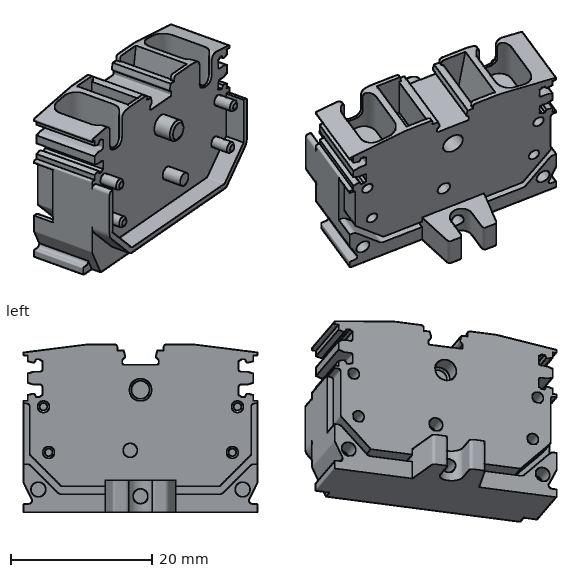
import cadquery as cq
import math

length = 33.2
height = 23.8
housing_width = 10.15
flange_reach = 5.98
rail_reach = 3.05
socket_depth = 3.3
half_length = length / 2
OVER = 0.33

clip_center_z = 19.02
clip_wall_y = 13.9
clip_nose_y = 16.0
clip_knee_y = 15.17
rib_root_half = 0.93
rib_tip_half = 0.65
bead_half = 2.2
bead_foot_half = 2.4
bead_groove_half = 2.65
shoulder_half = 3.2
bead_flat = 0.25
relief_flat = 0.43
brow_end_z = 22.68
top_flat_y = 7.6
corner_round = 0.2
rib_root_round = 0.33

step_y = 3.25
step_z = 22.97
marker_lip_y = 2.4
marker_nose_y = 2.12
marker_nose_z = 22.08
marker_wall_y = 2.55
marker_wall_z = 21.58
marker_floor_z = 20.95
step_round = 0.43
marker_nose_round = 0.2

foot_lip_z = 1.23
foot_notch_y = 15.37
foot_notch_z = 1.75
foot_slope_top_z = 4.25
foot_lip_width = 8.6
notch_round = 0.5
slope_round = 0.5

groove_top_z = 15.45
groove_side_y = 15.7
groove_inner_bottom_z = 3.7
groove_inner_bottom_y = 11.2
groove_outer_end_z = 6.85
groove_outer_end_y = 15.77
groove_bottom_z = 2.6
rail_top_z = 15.1
rail_side_y = 15.77
rail_inner_bottom_z = 3.55
rail_inner_bottom_y = 11.2
rail_bottom_z = 2.72
rail_outer_bottom_y = 11.6
kink_round = 0.43
bend_round = 0.83
rail_bend_round = 1.5

flange_root_half = 4.98
flange_tip_half = 3.9
flange_height = 4.55
flange_slot_diameter = 3.32
flange_slot_center_x = -2.6
flange_round = 0.5

center_peg_diameter = 3.15
center_peg_place = (0, 17.35)
corner_peg_diameter = 1.65
upper_corner_peg = (13.75, 14.97)
lower_corner_peg = (13.0, 8.5)
plain_peg_diameter = 2.0
plain_peg_place = (1.45, 8.8)
peg_tip_length = 0.33
peg_tip_inset = 0.3
foot_hole_diameter = 2.1
foot_hole_place = (14.48, 3.25)
flange_hole_z = 2.3

entry_x = (0.45, 9.75)
entry_y = (8.15, 13.6)
entry_corner = 2.0
entry_floor_z = 16.6
entry_slot_width = 2.92
entry_slot_y = 10.82
entry_slot_bottom_z = 18.6
entry_slot_bottom_round = 1.2
entry_slot_top_round = 1.0

tool_x = (0.65, 9.55)
tool_y = (3.22, 7.1)
tool_floor_z = entry_floor_z
tool_lean_y = 6.0
tool_lean_z = 17.13
tool_bevel_width = 0.33
tool_bevel_depth = 0.1

clamp_thickness = 0.65


def mirrored(points):
    """Close a +Y half outline with its mirror image."""
    return points + [(-y, z) for y, z in reversed(points)]


def prism(points, x_start, x_end):
    """Extrude a (Y, Z) outline from x_start to x_end."""
    sketch = cq.Workplane("YZ", origin=(x_start, 0, 0)).polyline(points).close()
    return sketch.extrude(x_end - x_start)


def block(x_range, y_range, z_range):
    """Rectangular block between the given limits."""
    corner = (x_range[0], y_range[0], z_range[0])
    size = [limits[1] - limits[0] for limits in (x_range, y_range, z_range)]
    return cq.Workplane("XY").box(*size, centered=False).translate(corner)


def round_x_edges(body, places, radius):
    """Round the edges along X that pass through the given (Y, Z) places on either side."""
    reach = 0.015
    far = 2 * length
    for y, z in places:
        for side in (-1, 1):
            low = (-far, side * y - reach, z - reach)
            high = (far, side * y + reach, z + reach)
            body = body.edges("|X").edges(cq.selectors.BoxSelector(low, high)).fillet(radius)
    return body


def both_ends(body):
    """The body together with its mirror image at the other end."""
    return body.union(body.mirror("XZ"))


def clip_end(side):
    """Outline of one clip slot, from its free end to the middle rib (side -1 below, +1 above)."""
    offsets = [
        (clip_nose_y, shoulder_half),
        (clip_nose_y, bead_foot_half),
        (clip_knee_y + bead_flat / 2, bead_half),
        (clip_knee_y - bead_flat / 2, bead_half),
        (clip_wall_y + 2 * relief_flat, bead_groove_half),
        (clip_wall_y + relief_flat, bead_groove_half),
        (clip_wall_y, bead_foot_half),
        (clip_wall_y, rib_root_half),
        (clip_knee_y, rib_root_half),
        (clip_nose_y, rib_tip_half),
    ]
    return [(y, clip_center_z + side * half) for y, half in offsets]


def housing_body():
    """Solid block with the end outline."""
    shoulder_z = clip_center_z - shoulder_half
    brow_z = clip_center_z + shoulder_half
    outline = [
        (half_length, 0),
        (half_length, foot_lip_z),
        (foot_notch_y, foot_lip_z),
        (foot_notch_y, foot_notch_z),
        (half_length, foot_slope_top_z),
        (half_length, shoulder_z),
        *clip_end(-1),
        *reversed(clip_end(1)),
        (half_length, brow_z),
        (half_length, brow_end_z),
        (top_flat_y, height),
        (step_y, height),
        (step_y, step_z),
        (marker_lip_y, step_z),
        (marker_nose_y, marker_nose_z),
        (marker_wall_y, marker_wall_z),
        (marker_wall_y, marker_floor_z),
    ]
    body = prism(mirrored(outline), 0, housing_width)
    small_corners = [
        (half_length, 0),
        (half_length, foot_lip_z),
        (half_length, shoulder_z),
        (half_length, brow_z),
        (half_length, brow_end_z),
        (marker_wall_y, marker_floor_z),
    ]
    rib_roots = [(clip_wall_y, clip_center_z + side * rib_root_half) for side in (-1, 1)]
    body = round_x_edges(body, small_corners, corner_round)
    body = round_x_edges(body, rib_roots, rib_root_round)
    body = round_x_edges(body, [(marker_nose_y, marker_nose_z)], marker_nose_round)
    body = round_x_edges(body, [(foot_notch_y, foot_lip_z)], notch_round)
    body = round_x_edges(body, [(half_length, foot_slope_top_z)], slope_round)
    return round_x_edges(body, [(step_y, height)], step_round)


def foot_lip_relief():
    """Cutter that ends the foot lips short of the +X face, along the foot slope."""
    lean = (half_length - foot_notch_y) / (foot_slope_top_z - foot_notch_z)
    slope_foot_y = half_length - lean * foot_slope_top_z
    triangle = [
        (slope_foot_y, 0),
        (half_length, 0),
        (half_length, foot_slope_top_z),
    ]
    return both_ends(prism(triangle, foot_lip_width, housing_width))


def guide_groove():
    """Groove that follows the lower corners and stops at the flange."""
    inner_kink_z = groove_inner_bottom_z + groove_side_y - groove_inner_bottom_y
    outer_corner_y = groove_outer_end_y - (groove_outer_end_z - groove_bottom_z)
    outline = [
        (half_length, groove_top_z),
        (groove_side_y, groove_top_z),
        (groove_side_y, inner_kink_z),
        (groove_inner_bottom_y, groove_inner_bottom_z),
        (flange_root_half, groove_inner_bottom_z),
        (flange_root_half, groove_bottom_z),
        (outer_corner_y, groove_bottom_z),
        (groove_outer_end_y, groove_outer_end_z),
        (half_length, groove_outer_end_z),
    ]
    groove = both_ends(prism(outline, 0, socket_depth))
    kinks = [(groove_side_y, groove_top_z), (groove_side_y, inner_kink_z)]
    bends = [(outer_corner_y, groove_bottom_z), (groove_outer_end_y, groove_outer_end_z)]
    groove = round_x_edges(groove, kinks, kink_round)
    return round_x_edges(groove, bends, bend_round)


def guide_rail():
    """Rail that fits the groove of the next block."""
    inner_kink_z = rail_inner_bottom_z + rail_side_y - rail_inner_bottom_y
    outer_kink_z = rail_bottom_z + half_length - rail_outer_bottom_y
    outline = [
        (rail_outer_bottom_y, rail_bottom_z),
        (half_length, outer_kink_z),
        (half_length, rail_top_z),
        (rail_side_y, rail_top_z),
        (rail_side_y, inner_kink_z),
        (rail_inner_bottom_y, rail_inner_bottom_z),
    ]
    rail = prism(mirrored(outline), housing_width, housing_width + rail_reach)
    rail = round_x_edges(rail, [(rail_outer_bottom_y, rail_bottom_z)], bend_round)
    rail = round_x_edges(rail, [(half_length, outer_kink_z)], rail_bend_round)
    rounded = [(half_length, rail_top_z), (rail_inner_bottom_y, rail_inner_bottom_z)]
    return round_x_edges(rail, rounded, kink_round)


def flange():
    """Tapered flange with a screw slot that opens to -X."""
    outline = [
        (0, flange_root_half),
        (-flange_reach, flange_tip_half),
        (-flange_reach, -flange_tip_half),
        (0, -flange_root_half),
    ]
    plate = cq.Workplane("XY").polyline(outline).close().extrude(flange_height)
    slot_half = flange_slot_diameter / 2
    slot_round = cq.Workplane("XY").center(flange_slot_center_x, 0).circle(slot_half).extrude(flange_height)
    slot_mouth = block(
        (-flange_reach - OVER, flange_slot_center_x), (-slot_half, slot_half), (0, flange_height)
    )
    plate = plate.cut(slot_round).cut(slot_mouth)
    return plate.edges("|Z and <X").fillet(flange_round)


def peg(place, diameter, x_start, reach, tapered):
    """Peg along +X, with a conical tip when tapered."""
    shape = cq.Workplane("YZ", origin=(x_start, *place)).circle(diameter / 2).extrude(reach)
    if tapered:
        shape = shape.faces(">X").chamfer(peg_tip_length, peg_tip_inset)
    return shape


def peg_set(x_start, reach):
    """All pegs of one face; with the socket depth they are the matching holes."""
    pegs = peg(center_peg_place, center_peg_diameter, x_start, reach, True)
    pegs = pegs.union(peg(plain_peg_place, plain_peg_diameter, x_start, reach, False))
    for y, z in (upper_corner_peg, lower_corner_peg):
        for side in (-1, 1):
            pegs = pegs.union(peg((side * y, z), corner_peg_diameter, x_start, reach, True))
    return pegs


def foot_holes():
    """Plain blind holes in the two foot corners and behind the flange slot."""
    y, z = foot_hole_place
    holes = both_ends(peg((y, z), foot_hole_diameter, 0, socket_depth, False))
    flange_hole = peg(
        (0, flange_hole_z), foot_hole_diameter, flange_slot_center_x,
        socket_depth - flange_slot_center_x, False,
    )
    return holes.union(flange_hole)


def wire_entry_column(z_low, z_high):
    """Rounded column with the section of the +Y wire entry."""
    return block(entry_x, entry_y, (z_low, z_high)).edges("|Z").fillet(entry_corner)


def wire_entry():
    """Wire entry with a round-bottomed side slot that opens to +X."""
    column = wire_entry_column(entry_floor_z - clamp_thickness, height + OVER)
    slot_half = entry_slot_width / 2
    slot_x = (sum(entry_x) / 2, housing_width)
    slot = block(
        slot_x, (entry_slot_y - slot_half, entry_slot_y + slot_half), (entry_slot_bottom_z, height + OVER)
    )
    slot = slot.edges("|X and <Z").fillet(entry_slot_bottom_round)
    return both_ends(column.union(slot).union(entry_slot_flare(slot_x)))


def entry_slot_flare(slot_x):
    """Convex rounding of both upper edges of the side slot, tangent to the sloping top."""
    slope = math.atan((height - brow_end_z) / (half_length - top_flat_y))
    roof_normal = math.pi / 2 - slope

    def rounding(side):
        """Roof end, middle and wall end of the arc on one wall (side -1 inner, +1 outer)."""
        center_y = entry_slot_y + side * (entry_slot_width / 2 + entry_slot_top_round)
        roof_z = height - math.tan(slope) * (center_y - top_flat_y)
        center_z = roof_z - entry_slot_top_round / math.cos(slope)
        wall_normal = math.pi if side > 0 else 0
        angles = (roof_normal, (roof_normal + wall_normal) / 2, wall_normal)
        return [
            (
                center_y + entry_slot_top_round * math.cos(angle),
                center_z + entry_slot_top_round * math.sin(angle),
            )
            for angle in angles
        ]

    inner_roof, inner_middle, inner_wall = rounding(-1)
    outer_roof, outer_middle, outer_wall = rounding(1)
    outline = (
        cq.Workplane("YZ", origin=(slot_x[0], 0, 0))
        .moveTo(inner_roof[0], height + OVER)
        .lineTo(*inner_roof)
        .threePointArc(inner_middle, inner_wall)
        .lineTo(*outer_wall)
        .threePointArc(outer_middle, outer_roof)
        .lineTo(outer_roof[0], height + OVER)
        .close()
    )
    return outline.extrude(slot_x[1] - slot_x[0])


def tool_pockets():
    """Pockets with a leaning outer wall and a bevelled inner edge."""
    outline = [
        (tool_y[0], height + OVER),
        (tool_y[0], step_z),
        (tool_y[0] + tool_bevel_width, step_z - tool_bevel_depth),
        (tool_y[0] + tool_bevel_width, tool_floor_z),
        (tool_lean_y, tool_floor_z),
        (tool_lean_y, tool_lean_z),
        (tool_y[1], height),
        (tool_y[1], height + OVER),
    ]
    return both_ends(prism(outline, *tool_x))


housing = (
    housing_body()
    .cut(foot_lip_relief())
    .cut(guide_groove())
    .union(guide_rail())
    .union(flange())
    .union(peg_set(housing_width, rail_reach))
    .cut(peg_set(0, socket_depth))
    .cut(foot_holes())
    .cut(wire_entry())
    .cut(tool_pockets())
)


def clamp_plate(side):
    """Plate that forms the floor of one wire entry (side -1 or +1 along Y)."""
    plate = wire_entry_column(entry_floor_z - clamp_thickness, entry_floor_z)
    if side < 0:
        plate = plate.mirror("XZ")
    return plate


clamp_plates = [clamp_plate(side).val() for side in (-1, 1)]

result = cq.Compound.makeCompound([housing.val(), *clamp_plates])